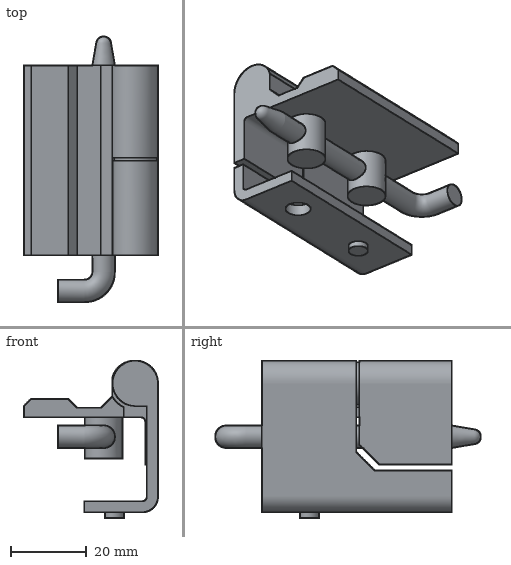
import cadquery as cq
import math


hinge_length = 50.0
half_length = hinge_length / 2
split_y = -0.15
washer_thickness = 0.8
rear_leaf_start_y = split_y + washer_thickness

knuckle_radius = 6.0
washer_radius = 5.6
knuckle_clearance_radius = 7.0
rear_knuckle_side = -6.1
rear_knuckle_side_top = 1.4

sheet = 3.0
channel_inner_x = knuckle_radius - sheet
channel_bottom = -34.0
channel_lip_x = -13.5
channel_inner_radius = 1.2
channel_outer_radius = channel_inner_radius + sheet
notch_top = -22.9
notch_chamfer = 4.8

plate_left = -29.35
plate_bottom = -9.0
plate_top = -4.1
plate_chamfer = 1.9
pad_right = -17.65
valley_left = -15.35
valley_floor = plate_top - (valley_left - pad_right)
plate_right = -3.1
rear_wall_inner_x = 2.55
rear_wall_fillet = 1.0
rear_wall_bottom = -21.4
rear_wall_chamfer = 5.2

lip_feature_x = -5.5
feature_y = 12.5
stub_diameter = 5.1
stub_height = 1.5
lip_hole_diameter = 6.6

boss_diameter = 10.0
boss_height = 10.8
rod_inset = 21.0
rod_x = plate_left + rod_inset
rod_drop = 5.07
rod_z = plate_bottom - rod_drop
rod_radius = 3.0
bend_radius = 5.0
straight_overhang = 4.35
bend_start_y = -half_length - straight_overhang
crank_end_x = -20.4
tip_cone_length = 5.8
tip_radius = 2.0
tip_length = 7.65


def extrude_along_y(sketch, y_start, y_end):
    """Extrude a profile drawn on the XZ plane from y_start to y_end."""
    return sketch.extrude(y_start - y_end).translate((0, y_start, 0))


def make_front_leaf():
    diagonal = knuckle_radius * math.sqrt(0.5)
    profile = (
        cq.Workplane("XZ")
        .moveTo(knuckle_radius, 0)
        .threePointArc((-diagonal, diagonal), (0, -knuckle_radius))
        .lineTo(channel_inner_x, -knuckle_radius)
        .lineTo(channel_inner_x, channel_bottom + sheet + channel_inner_radius)
        .radiusArc((channel_inner_x - channel_inner_radius, channel_bottom + sheet), channel_inner_radius)
        .lineTo(channel_lip_x, channel_bottom + sheet)
        .lineTo(channel_lip_x, channel_bottom)
        .lineTo(knuckle_radius - channel_outer_radius, channel_bottom)
        .radiusArc((knuckle_radius, channel_bottom + channel_outer_radius), -channel_outer_radius)
        .close()
    )
    leaf = extrude_along_y(profile, -half_length, half_length)

    notch_ceiling = 2 * knuckle_radius
    notch_width = 2 * knuckle_clearance_radius
    notch = (
        cq.Workplane("YZ")
        .moveTo(split_y, notch_ceiling)
        .lineTo(split_y, notch_top + notch_chamfer)
        .lineTo(split_y + notch_chamfer, notch_top)
        .lineTo(half_length, notch_top)
        .lineTo(half_length, notch_ceiling)
        .close()
        .extrude(notch_width, both=True)
    )
    return leaf.cut(notch)


def make_plate():
    side_z = -math.sqrt(knuckle_clearance_radius**2 - rear_knuckle_side**2)
    relief_z = -math.sqrt(knuckle_clearance_radius**2 - plate_right**2)
    profile = (
        cq.Workplane("XZ")
        .moveTo(plate_left, plate_bottom)
        .lineTo(plate_left, plate_top - plate_chamfer)
        .lineTo(plate_left + plate_chamfer, plate_top)
        .lineTo(pad_right, plate_top)
        .lineTo(valley_left, valley_floor)
        .lineTo(rear_knuckle_side - (side_z - valley_floor), valley_floor)
        .lineTo(rear_knuckle_side, side_z)
        .radiusArc((plate_right, relief_z), -knuckle_clearance_radius)
        .lineTo(plate_right, plate_bottom)
        .close()
    )
    return extrude_along_y(profile, -half_length, half_length)


def make_rear_knuckle_and_wall():
    profile = (
        cq.Workplane("XZ")
        .moveTo(rear_knuckle_side, plate_bottom)
        .lineTo(rear_knuckle_side, rear_knuckle_side_top)
        .threePointArc((0, knuckle_radius), (knuckle_radius, 0))
        .lineTo(knuckle_radius, rear_wall_bottom)
        .lineTo(rear_wall_inner_x, rear_wall_bottom)
        .lineTo(rear_wall_inner_x, plate_bottom - rear_wall_fillet)
        .radiusArc((rear_wall_inner_x - rear_wall_fillet, plate_bottom), -rear_wall_fillet)
        .close()
    )
    body = extrude_along_y(profile, rear_leaf_start_y, half_length)
    corner = (
        cq.Workplane("YZ")
        .moveTo(rear_leaf_start_y, rear_wall_bottom)
        .lineTo(rear_leaf_start_y + rear_wall_chamfer, rear_wall_bottom)
        .lineTo(rear_leaf_start_y, rear_wall_bottom + rear_wall_chamfer)
        .close()
        .extrude(knuckle_radius)
    )
    return body.cut(corner)


def make_washer():
    return extrude_along_y(cq.Workplane("XZ").circle(washer_radius), split_y, rear_leaf_start_y)


def make_boss(y):
    return (
        cq.Workplane("XY", origin=(rod_x, y, plate_bottom))
        .circle(boss_diameter / 2)
        .extrude(-boss_height)
    )


def make_rod():
    bend_mid = bend_radius * math.sqrt(0.5)
    bend_center_x = rod_x - bend_radius
    crank_y = bend_start_y - bend_radius
    path = (
        cq.Workplane("XY", origin=(0, 0, rod_z))
        .moveTo(rod_x, half_length)
        .lineTo(rod_x, bend_start_y)
        .threePointArc(
            (bend_center_x + bend_mid, bend_start_y - bend_mid),
            (bend_center_x, crank_y),
        )
        .lineTo(crank_end_x, crank_y)
    )
    shaft = (
        cq.Workplane("XZ", origin=(rod_x, half_length, rod_z))
        .circle(rod_radius)
        .sweep(path)
    )

    dome_height = tip_length - tip_cone_length
    dome_radius = (tip_radius**2 + dome_height**2) / (2 * dome_height)
    tip = (
        cq.Workplane("XY", origin=(rod_x, half_length, rod_z))
        .lineTo(rod_radius, 0)
        .lineTo(tip_radius, tip_cone_length)
        .radiusArc((0, tip_length), -dome_radius)
        .close()
        .revolve(360, (0, 0, 0), (0, 1, 0))
    )
    return shaft.union(tip)


def make_lip_cylinder(y, diameter, z_start, height):
    return (
        cq.Workplane("XY", origin=(lip_feature_x, y, z_start))
        .circle(diameter / 2)
        .extrude(height)
    )


lip_hole = make_lip_cylinder(feature_y, lip_hole_diameter, channel_bottom, sheet)
stub = make_lip_cylinder(-feature_y, stub_diameter, channel_bottom - stub_height, stub_height)

result = make_front_leaf().cut(lip_hole).union(stub)
result = result.union(make_washer())
result = result.union(make_rear_knuckle_and_wall())
result = result.union(make_plate())
for boss_y in (-feature_y, feature_y):
    result = result.union(make_boss(boss_y))
result = result.union(make_rod())